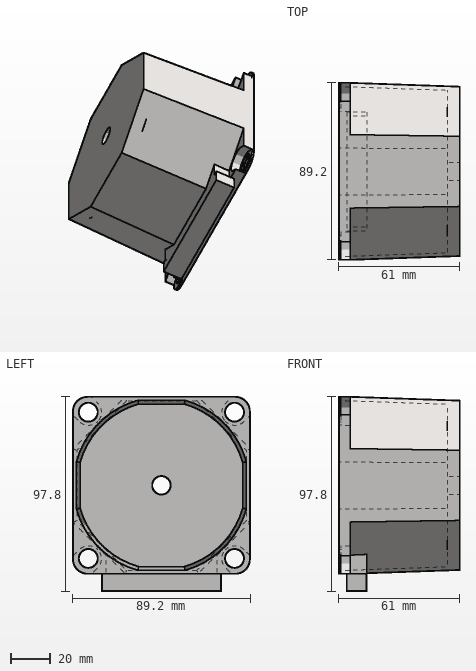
import cadquery as cq
import math

FLANGE_SIDE = 89.2
FLANGE_THICKNESS = 5.8
FLANGE_CORNER_RADIUS = 7.5
OVERALL_LENGTH = 61.0

CUP_SIDES = 8
DRAFT_SLOPE = math.tan(math.radians(2.0))
CENTRE_HOLE_DIAMETER = 9.2

RIM_WIDTH = 1.8
MOUTH_RADIUS = 44.4
MOUTH_HALF_SIDE = FLANGE_SIDE / 2 - RIM_WIDTH
CAVITY_DEPTH = 54.5

SCREW_HOLE_DIAMETER = 9.4
SCREW_OFFSET = 36.8
RELIEF_WIDTH = 13.0
RELIEF_LENGTH = 20.0
SKIN_THICKNESS = 1.1

TAB_WIDTH = 60.0
TAB_DROP = 8.6
TAB_START = 4.0
TAB_THICKNESS = 10.0
BLOCK_WIDTH = 55.8
BLOCK_HEIGHT = 15.0


def cross_section(x):
    """Workplane normal to +X at distance x; its axes are Y and Z."""
    return cq.Workplane("YZ", origin=(x, 0, 0))


def flange():
    plate = cross_section(0).rect(FLANGE_SIDE, FLANGE_SIDE).extrude(FLANGE_THICKNESS)
    return plate.edges("|X").fillet(FLANGE_CORNER_RADIUS)


def octagon(x, half_width):
    """Octagon with flats facing Y and Z, each half_width from the X axis."""
    circumscribed_diameter = 2 * half_width / math.cos(math.pi / CUP_SIDES)
    half_facet_angle = 180 / CUP_SIDES
    return (
        cross_section(x)
        .transformed(rotate=(0, 0, half_facet_angle))
        .polygon(CUP_SIDES, circumscribed_diameter)
    )


def cup():
    length = OVERALL_LENGTH - FLANGE_THICKNESS
    base_half = FLANGE_SIDE / 2
    end_half = base_half - length * DRAFT_SLOPE
    base = octagon(FLANGE_THICKNESS, base_half)
    end = octagon(OVERALL_LENGTH, end_half)
    return cq.Workplane(
        cq.Solid.makeLoft([base.wires().val(), end.wires().val()], True)
    )


def cavity():
    """Cone trimmed by a square pyramid, both narrowing at the draft slope."""
    inset = CAVITY_DEPTH * DRAFT_SLOPE
    cone = cq.Workplane(
        cq.Solid.makeCone(
            MOUTH_RADIUS,
            MOUTH_RADIUS - inset,
            CAVITY_DEPTH,
            pnt=cq.Vector(0, 0, 0),
            dir=cq.Vector(1, 0, 0),
        )
    )
    mouth_side = 2 * MOUTH_HALF_SIDE
    floor_side = mouth_side - 2 * inset
    pyramid = (
        cross_section(0)
        .rect(mouth_side, mouth_side)
        .workplane(offset=CAVITY_DEPTH)
        .rect(floor_side, floor_side)
        .loft(ruled=True)
    )
    return cone.intersect(pyramid)


def tab_layer(width, bottom, top):
    """Box as thick as the tab, between two heights."""
    return (
        cq.Workplane("XY", origin=(TAB_START, 0, bottom))
        .box(TAB_THICKNESS, width, top - bottom, centered=(False, True, False))
    )


def tab():
    """Hanging tab plus the block above it; the cavity trims the block inside the cup."""
    flange_bottom = -FLANGE_SIDE / 2
    hanging = tab_layer(TAB_WIDTH, flange_bottom - TAB_DROP, flange_bottom)
    block = tab_layer(BLOCK_WIDTH, flange_bottom, flange_bottom + BLOCK_HEIGHT)
    return hanging.union(block)


def screw_holes():
    spacing = 2 * SCREW_OFFSET
    return (
        cross_section(0)
        .rect(spacing, spacing, forConstruction=True)
        .vertices()
        .circle(SCREW_HOLE_DIAMETER / 2)
        .extrude(FLANGE_THICKNESS)
    )


def corner_relief(angle):
    """Slot around one screw hole, running out through the flange corner."""
    depth = FLANGE_THICKNESS - SKIN_THICKNESS
    centre_distance = SCREW_OFFSET * math.sqrt(2)
    plane = cross_section(SKIN_THICKNESS)
    end = plane.center(centre_distance, 0).circle(RELIEF_WIDTH / 2).extrude(depth)
    channel = (
        plane.center(centre_distance + RELIEF_LENGTH / 2, 0)
        .rect(RELIEF_LENGTH, RELIEF_WIDTH)
        .extrude(depth)
    )
    return end.union(channel).rotate((0, 0, 0), (1, 0, 0), angle)


def centre_hole():
    return cross_section(0).circle(CENTRE_HOLE_DIAMETER / 2).extrude(OVERALL_LENGTH)


plate = flange().cut(screw_holes())
for corner_angle in (45, 135, 225, 315):
    plate = plate.cut(corner_relief(corner_angle))

result = plate.union(cup()).union(tab()).cut(cavity()).cut(centre_hole())